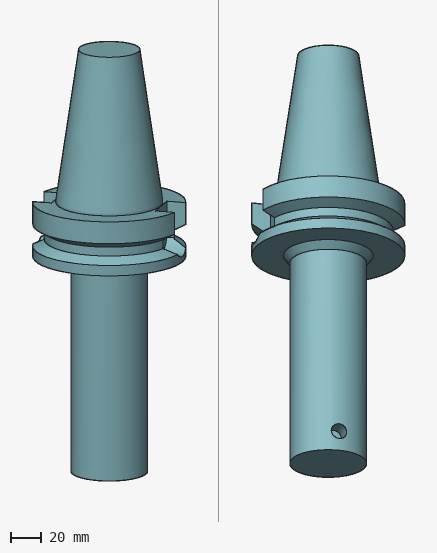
import cadquery as cq
import math

total_height = 284.8
shank_radius = 50.0 / 2
collar_bottom = 140.0
collar_radius = 29.3

taper_length = 101.7
taper_base_radius = 69.8 / 2
taper_ratio = 7 / 24
land_height = 1.5
taper_base = total_height - taper_length
taper_top_radius = taper_base_radius - taper_length * taper_ratio / 2

flange_radius = 100.0 / 2
flange_top = taper_base - land_height
flange_bottom = 145.2
groove_radius = 42.5
groove_floor_height = 6.0
groove_floor_bottom = 156.5
groove_floor_top = groove_floor_bottom + groove_floor_height
groove_side_height = (flange_radius - groove_radius) * math.tan(math.radians(30))

slot_width = 25.5
slot_end_radius = 28.0 / 2
slot_floor_x = 35.3
slot_bottom = 149.0

screw_hole_radius = 10.3 / 2
screw_hole_height = 13.5
screw_hole_depth = shank_radius / 2


def holder_body():
    """Revolve the half profile, given as (radius, height), about the Z axis."""
    profile = [
        (0, 0),
        (shank_radius, 0),
        (shank_radius, collar_bottom),
        (collar_radius, flange_bottom),
        (flange_radius, flange_bottom),
        (flange_radius, groove_floor_bottom - groove_side_height),
        (groove_radius, groove_floor_bottom),
        (groove_radius, groove_floor_top),
        (flange_radius, groove_floor_top + groove_side_height),
        (flange_radius, flange_top),
        (taper_base_radius, flange_top),
        (taper_base_radius, taper_base),
        (taper_top_radius, total_height),
        (0, total_height),
    ]
    return cq.Workplane("XZ").polyline(profile).close().revolve(360, (0, 0), (0, 1))


def drive_slot(side):
    """Cutter for one slot with an arc-shaped lower end; side is -1 or +1 along X."""
    half_width = slot_width / 2
    arc_center = slot_bottom + slot_end_radius
    arc_start = arc_center - math.sqrt(slot_end_radius**2 - half_width**2)
    return (
        cq.Workplane("YZ", origin=(side * slot_floor_x, 0, 0))
        .moveTo(-half_width, flange_top)
        .lineTo(-half_width, arc_start)
        .threePointArc((0, slot_bottom), (half_width, arc_start))
        .lineTo(half_width, flange_top)
        .close()
        .extrude(side * flange_radius)
    )


def screw_hole():
    """Cutter for the blind set-screw hole, reaching inward from +Y."""
    return (
        cq.Workplane("XZ", origin=(0, shank_radius, screw_hole_height))
        .circle(screw_hole_radius)
        .extrude(screw_hole_depth)
    )


result = holder_body()
for side in (-1, 1):
    result = result.cut(drive_slot(side))
result = result.cut(screw_hole())